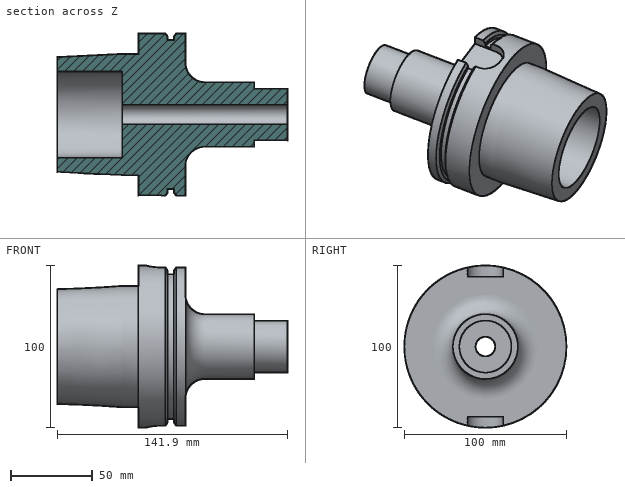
import cadquery as cq

total_length = 141.9
taper_end = 40.0
flange_start = 50.0
flange_end = 79.0
neck_end = 121.5

shank_end_radius = 35.5
shank_radius = 37.5
flange_radius = 100.0 / 2
neck_radius = 20.0
tip_radius = 16.0
neck_fillet = 11.9

groove_center = 70.0
groove_floor_width = 3.8
groove_chamfer_width = 1.4
groove_chamfer_depth = 2.0
groove_radius = 46.0
cutter_clearance = 1.4

bore_radius = 26.5
bore_depth = taper_end
passage_radius = 6.0

slot_start = 54.8
slot_width = 22.0
slot_corner_radius = 10.0
slot_floor = 43.1


def make_body():
    """Revolved tapered shank, flange, neck and tip."""
    profile = (
        cq.Workplane("XY")
        .lineTo(0, shank_end_radius)
        .lineTo(taper_end, shank_radius)
        .lineTo(flange_start, shank_radius)
        .lineTo(flange_start, flange_radius)
        .lineTo(flange_end, flange_radius)
        .lineTo(flange_end, neck_radius + neck_fillet)
        .radiusArc((flange_end + neck_fillet, neck_radius), -neck_fillet)
        .lineTo(neck_end, neck_radius)
        .lineTo(neck_end, tip_radius)
        .lineTo(total_length, tip_radius)
        .lineTo(total_length, 0)
        .close()
    )
    return profile.revolve(360, (0, 0, 0), (1, 0, 0))


def make_groove():
    """Ring with straight lower walls and chamfered edges."""
    floor_half = groove_floor_width / 2
    mouth_half = floor_half + groove_chamfer_width
    chamfer_radius = flange_radius - groove_chamfer_depth
    clear_radius = flange_radius + cutter_clearance
    profile = cq.Workplane("XY").polyline([
        (groove_center - floor_half, groove_radius),
        (groove_center - floor_half, chamfer_radius),
        (groove_center - mouth_half, flange_radius),
        (groove_center - mouth_half, clear_radius),
        (groove_center + mouth_half, clear_radius),
        (groove_center + mouth_half, flange_radius),
        (groove_center + floor_half, chamfer_radius),
        (groove_center + floor_half, groove_radius),
    ]).close()
    return profile.revolve(360, (0, 0, 0), (1, 0, 0))


def make_slot():
    """Upper slot: rounded at its closed end, open at the neck side of the flange."""
    slot_length = flange_end - slot_start
    slot_height = flange_radius - slot_floor
    return (
        cq.Workplane("XY", origin=(slot_start, 0, slot_floor))
        .box(slot_length, slot_width, slot_height, centered=(False, True, False))
        .edges("|Z and <X")
        .fillet(slot_corner_radius)
    )


def make_hole(radius, depth):
    """Axial hole from the open end of the shank."""
    return cq.Workplane("YZ").circle(radius).extrude(depth)


upper_slot = make_slot()
lower_slot = upper_slot.mirror("XY")

result = (
    make_body()
    .cut(make_groove())
    .cut(upper_slot)
    .cut(lower_slot)
    .cut(make_hole(bore_radius, bore_depth))
    .cut(make_hole(passage_radius, total_length))
)